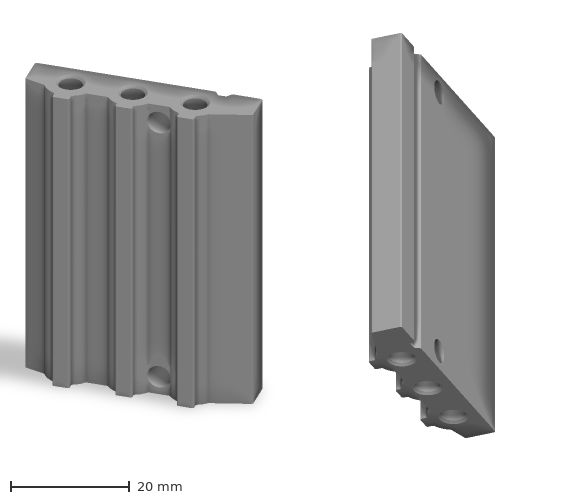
import cadquery as cq
import math

width = 40.3
depth = 10.0
height = 56.5

bore_pitch = 11.0
bore_diameter = 4.1
bore_mouth_diameter = 5.05
bore_chamfer = (bore_mouth_diameter - bore_diameter) / 2
lobe_radius = 4.5
bore_count = 3
left_margin = 7.7
left_bore_x = left_margin - width / 2
bore_xs = [left_bore_x + i * bore_pitch for i in range(bore_count)]

back_y = depth / 2
front_y = -depth / 2
bore_y = back_y - 4.45
side_y = back_y - 5.55
floor_y = back_y - 7.25
left_flank_y = back_y - 6.6
right_flank_y = back_y - 7.55

rib_width = 3.0
middle_rib_setback = 0.2

corner_radius = 0.3

groove_x = 13.3
groove_mouth_width = 2.9
groove_floor_width = 1.45
groove_depth = 1.0

cross_hole_diameter = 4.2
cross_hole_x = (bore_xs[1] + bore_xs[2]) / 2
cross_hole_pitch = 49.7


def lobe_offset_at_y(y):
    """Horizontal distance from a bore axis to its lobe surface at a given y."""
    return math.sqrt(lobe_radius**2 - (bore_y - y) ** 2)


def lobe_y_at_offset(offset):
    """Y of the lobe's front surface at a horizontal distance from the bore axis."""
    return bore_y - math.sqrt(lobe_radius**2 - offset**2)


def add_arc(outline, bore_x, start, end):
    """Continue the outline along a lobe, between two (offset, y) points."""
    middle = (start[0] + end[0]) / 2
    return outline.threePointArc(
        (bore_x + middle, lobe_y_at_offset(middle)), (bore_x + end[0], end[1])
    )


def make_body():
    """Extruded profile with lobes, ribs and back groove, rounded lengthwise."""
    left_y = [left_flank_y, floor_y, floor_y]
    right_y = [floor_y, floor_y, right_flank_y]
    rib_ys = [front_y, front_y + middle_rib_setback, front_y]

    half_rib = rib_width / 2
    root_y = lobe_y_at_offset(half_rib)

    outline = cq.Workplane("XY").moveTo(-width / 2, back_y).lineTo(-width / 2, side_y)
    for x, start_y, end_y, rib_y in zip(bore_xs, left_y, right_y, rib_ys):
        start = (-lobe_offset_at_y(start_y), start_y)
        end = (lobe_offset_at_y(end_y), end_y)
        outline = outline.lineTo(x + start[0], start_y)
        outline = add_arc(outline, x, start, (-half_rib, root_y))
        outline = outline.lineTo(x - half_rib, rib_y).lineTo(x + half_rib, rib_y)
        outline = outline.lineTo(x + half_rib, root_y)
        outline = add_arc(outline, x, (half_rib, root_y), end)
    outline = outline.lineTo(width / 2, side_y).lineTo(width / 2, back_y)
    body = outline.close().extrude(height / 2, both=True).cut(make_groove())
    return body.edges("|Z").fillet(corner_radius)


def make_bores():
    """Full-height bores with a chamfered mouth at each end."""
    half_bore = bore_diameter / 2
    half_mouth = bore_mouth_diameter / 2
    profile = [
        (0, -height / 2),
        (half_mouth, -height / 2),
        (half_bore, -height / 2 + bore_chamfer),
        (half_bore, height / 2 - bore_chamfer),
        (half_mouth, height / 2),
        (0, height / 2),
    ]
    bore = cq.Workplane("XZ").polyline(profile).close().revolve(360, (0, 0), (0, 1))

    bores = cq.Workplane("XY")
    for x in bore_xs:
        bores = bores.union(bore.translate((x, bore_y, 0)))
    return bores


def make_groove():
    """Groove along the full height of the back face."""
    profile = [
        (groove_x - groove_mouth_width / 2, back_y),
        (groove_x - groove_floor_width / 2, back_y - groove_depth),
        (groove_x + groove_floor_width / 2, back_y - groove_depth),
        (groove_x + groove_mouth_width / 2, back_y),
    ]
    return cq.Workplane("XY").polyline(profile).close().extrude(height / 2, both=True)


def make_cross_holes():
    """Pair of holes through the thickness, near the top and bottom ends."""
    centers = [(cross_hole_x, side * cross_hole_pitch / 2) for side in (-1, 1)]
    holes = cq.Workplane("XZ").pushPoints(centers).circle(cross_hole_diameter / 2)
    return holes.extrude(depth, both=True)


result = make_body().cut(make_bores()).cut(make_cross_holes())